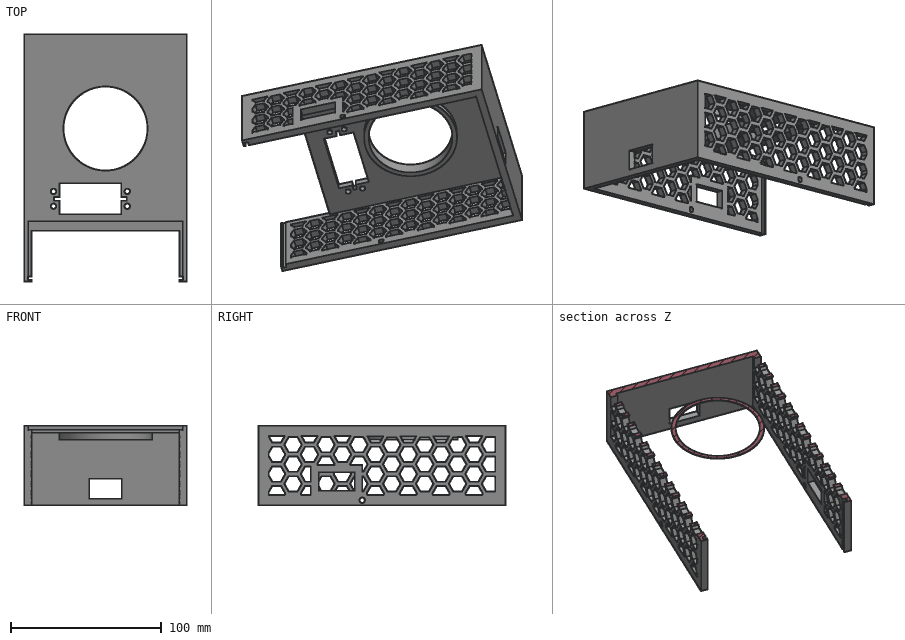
import cadquery as cq

width = 108.0
length = 164.4
height = 53.1
wall = 5.0
top_thickness = 5.0

bay_depth = 33.7
rebate_width = 102.9
rebate_length = 40.1
rebate_depth = 3.0
groove_offset = 1.3
groove_width = 2.1

fan_diameter = 55.7
collar_diameter = 61.8
collar_drop = 4.6
fan_y = 101.8

screw_diameter = 3.5
display_x = -10.0
display_y = 55.0
display_length = 40.8
display_width = 20.4
notch_span = 48.2
notch_width = 2.3
screw_pitch_x = 49.0
screw_pitch_y = 9.9

grille_margin = 7.0
hexagon_corners = 11.5
row_pitch = 13.0
column_gap = 2.3
column_pitch = hexagon_corners * 3 / 4 + column_gap
grille_first_y = 12.2
grille_first_z = 7.9
column_count = 14
row_count = 4

plate_start_y = 34.9
plate_length = 34.4
plate_top = 27.0
switch_start_y = 40.3
switch_length = 23.7
switch_bottom = 9.9
switch_height = 12.2

side_screw_y = 69.0
side_screw_z = 3.5
socket_width = 21.5
socket_height = 13.0
socket_bottom = 4.6


def block(size_x, size_y, size_z, x=0.0, y=0.0, z=0.0):
    """Box centred on x that starts at y and z."""
    return cq.Workplane("XY").box(size_x, size_y, size_z, centered=(True, False, False)).translate((x, y, z))


def make_shell():
    cavity = block(width - 2 * wall, length - wall, height - top_thickness)
    return block(width, length, height).cut(cavity)


def cut_panel_seat(body):
    bay = block(width - 2 * wall, bay_depth, height)
    rebate = block(rebate_width, rebate_length, rebate_depth, z=height - rebate_depth)
    grooves = block(rebate_width, groove_width, height, y=groove_offset)
    return body.cut(bay).cut(rebate).cut(grooves)


def add_fan_opening(body):
    collar_bottom = height - top_thickness - collar_drop
    plane = cq.Workplane("XY", origin=(0, fan_y, collar_bottom))
    collar = plane.circle(collar_diameter / 2).extrude(collar_drop + top_thickness)
    opening = plane.circle(fan_diameter / 2).extrude(height)
    return body.union(collar).cut(opening)


def cut_display_opening(body):
    plane = cq.Workplane("XY", origin=(display_x, display_y, height - top_thickness))
    window = plane.rect(display_length, display_width).extrude(top_thickness)
    notches = plane.rect(notch_span, notch_width).extrude(top_thickness)
    screws = plane.rect(screw_pitch_x, screw_pitch_y, forConstruction=True).vertices()
    screw_holes = screws.circle(screw_diameter / 2).extrude(top_thickness)
    return body.cut(window).cut(notches).cut(screw_holes)


def make_grille():
    """Hexagonal prisms across the full width, trimmed to the grille window."""
    centres = []
    for column in range(column_count):
        stagger = (column % 2) * row_pitch / 2
        for row in range(row_count):
            y = grille_first_y + column * column_pitch
            z = grille_first_z + stagger + row * row_pitch
            centres.append((y, z))
    plane = cq.Workplane("YZ", origin=(-width / 2, 0, 0))
    prisms = plane.pushPoints(centres).polygon(6, hexagon_corners).extrude(width)
    window = block(
        width,
        length - 2 * grille_margin,
        height - 2 * grille_margin,
        y=grille_margin,
        z=grille_margin,
    )
    return prisms.intersect(window)


def cut_side_walls(body):
    wall_x = (width - wall) / 2
    plate = block(wall, plate_length, plate_top, x=wall_x, y=plate_start_y)
    grille = make_grille()
    for side in (-1, 1):
        side_grille = grille.intersect(block(wall, length, height, x=side * wall_x))
        if side > 0:
            side_grille = side_grille.cut(plate)
        body = body.cut(side_grille)
    switch = block(wall, switch_length, switch_height, x=wall_x, y=switch_start_y, z=switch_bottom)
    screw_plane = cq.Workplane("YZ", origin=(-width / 2, side_screw_y, side_screw_z))
    screw_holes = screw_plane.circle(screw_diameter / 2).extrude(width)
    return body.cut(switch).cut(screw_holes)


def cut_socket(body):
    return body.cut(block(socket_width, wall, socket_height, y=length - wall, z=socket_bottom))


shell = cut_panel_seat(make_shell())
topped = cut_display_opening(add_fan_opening(shell))
result = cut_socket(cut_side_walls(topped))